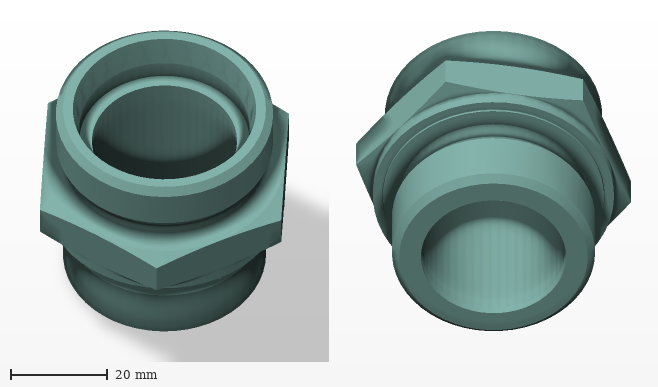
import cadquery as cq
import math

TOTAL_HEIGHT = 48.0
BORE_DIA = 30.0

STUD_DIA = 42.0
STUD_TOP = 13.05
STUD_NECK_DIA = 38.6
STUD_NECK_FILLET = 1.4

COLLAR_DIA = 49.9
COLLAR_BOTTOM = 20.05
HEX_BOTTOM = 23.05
HEX_TOP = 32.1
HEX_CORNER_DIA = 57.75
HEX_CHAMFER_ANGLE = 15.0

TUBE_END_DIA = 45.0
TUBE_END_BOTTOM = 38.05
TUBE_NECK_DIA = 42.0
TUBE_NECK_FILLET = 1.05
HEX_ROOT_FILLET = 1.15

END_CHAMFER = 1.5
RELIEF_ANGLE = 30.0

SOCKET_MOUTH_DIA = 37.9
SOCKET_DIA = 35.3
SOCKET_CONE_DEPTH = 6.25
SOCKET_DEPTH = 10.3

GROOVE_DIA = 46.0
GROOVE_DEPTH = 1.95
SEAL_OUTER_DIA = 45.8
SEAL_INNER_DIA = 38.8
SEAL_PROTRUSION = 0.4


def relief_height(large_dia, small_dia):
    """Axial length of a run-out cone between two diameters."""
    return (large_dia - small_dia) / 2 / math.tan(math.radians(RELIEF_ANGLE))


def cylinder(diameter, bottom, top):
    return cq.Workplane("XY").workplane(offset=bottom).circle(diameter / 2).extrude(top - bottom)


def fillet_circle(body, diameter, height, radius):
    """Round the circular edge of the given diameter at the given height."""
    reach = diameter / 2 + 0.05
    edge_box = cq.selectors.BoxSelector(
        (-reach, -reach, height - 0.05), (reach, reach, height + 0.05), boundingbox=True
    )
    return body.edges(edge_box).fillet(radius)


def make_stud_end():
    """Chamfered stud, run-out cone and neck, up to the hexagon."""
    radius = STUD_DIA / 2
    neck_radius = STUD_NECK_DIA / 2
    neck_bottom = STUD_TOP + relief_height(STUD_DIA, STUD_NECK_DIA)
    profile = [
        (0, 0),
        (radius - END_CHAMFER, 0),
        (radius, END_CHAMFER),
        (radius, STUD_TOP),
        (neck_radius, neck_bottom),
        (neck_radius, HEX_BOTTOM),
        (0, HEX_BOTTOM),
    ]
    stud = cq.Workplane("XZ").polyline(profile).close().revolve(360, (0, 0, 0), (0, 1, 0))
    return fillet_circle(stud, STUD_NECK_DIA, neck_bottom, STUD_NECK_FILLET)


def make_tube_end():
    """Neck, run-out cone and chamfered tube end above the hexagon."""
    radius = TUBE_END_DIA / 2
    neck_radius = TUBE_NECK_DIA / 2
    neck_top = TUBE_END_BOTTOM - relief_height(TUBE_END_DIA, TUBE_NECK_DIA)
    profile = [
        (0, HEX_TOP),
        (neck_radius, HEX_TOP),
        (neck_radius, neck_top),
        (radius, TUBE_END_BOTTOM),
        (radius, TOTAL_HEIGHT - END_CHAMFER),
        (radius - END_CHAMFER, TOTAL_HEIGHT),
        (0, TOTAL_HEIGHT),
    ]
    tube_end = cq.Workplane("XZ").polyline(profile).close().revolve(360, (0, 0, 0), (0, 1, 0))
    return fillet_circle(tube_end, TUBE_NECK_DIA, neck_top, TUBE_NECK_FILLET)


def make_hexagon():
    """Hexagon with corners on Y, its corners turned to shallow cones above and below."""
    hexagon = (
        cq.Workplane("XY")
        .workplane(offset=HEX_BOTTOM)
        .polygon(6, HEX_CORNER_DIA)
        .extrude(HEX_TOP - HEX_BOTTOM)
        .rotate((0, 0, 0), (0, 0, 1), 30)
    )
    face_radius = COLLAR_DIA / 2
    rim_radius = HEX_CORNER_DIA / 2 + 0.6
    drop = (rim_radius - face_radius) * math.tan(math.radians(HEX_CHAMFER_ANGLE))
    profile = [
        (0, HEX_BOTTOM),
        (face_radius, HEX_BOTTOM),
        (rim_radius, HEX_BOTTOM + drop),
        (rim_radius, HEX_TOP - drop),
        (face_radius, HEX_TOP),
        (0, HEX_TOP),
    ]
    envelope = cq.Workplane("XZ").polyline(profile).close().revolve(360, (0, 0, 0), (0, 1, 0))
    return hexagon.intersect(envelope)


def make_collar():
    """Round collar under the hexagon, with the seal groove open at its underside."""
    collar = cylinder(COLLAR_DIA, COLLAR_BOTTOM, HEX_BOTTOM)
    return collar.cut(cylinder(GROOVE_DIA, COLLAR_BOTTOM, COLLAR_BOTTOM + GROOVE_DEPTH))


def make_socket():
    """Conical mouth, short straight socket and through bore, as one cutter."""
    cone_bottom = TOTAL_HEIGHT - SOCKET_CONE_DEPTH
    shoulder = TOTAL_HEIGHT - SOCKET_DEPTH
    profile = [
        (0, 0),
        (BORE_DIA / 2, 0),
        (BORE_DIA / 2, shoulder),
        (SOCKET_DIA / 2, shoulder),
        (SOCKET_DIA / 2, cone_bottom),
        (SOCKET_MOUTH_DIA / 2, TOTAL_HEIGHT),
        (0, TOTAL_HEIGHT),
    ]
    return cq.Workplane("XZ").polyline(profile).close().revolve(360, (0, 0, 0), (0, 1, 0))


def make_fitting():
    fitting = make_collar().union(make_hexagon()).union(make_stud_end()).union(make_tube_end())
    fitting = fillet_circle(fitting, TUBE_NECK_DIA, HEX_TOP, HEX_ROOT_FILLET)
    return fitting.cut(make_socket()).solids()


def make_seal_ring():
    """Flat ring seated on the groove floor and standing proud of the collar."""
    bottom = COLLAR_BOTTOM - SEAL_PROTRUSION
    top = COLLAR_BOTTOM + GROOVE_DEPTH
    return cylinder(SEAL_OUTER_DIA, bottom, top).cut(cylinder(SEAL_INNER_DIA, bottom, top))


fitting = make_fitting()
seal_ring = make_seal_ring()
result = cq.Compound.makeCompound([fitting.val(), seal_ring.val()])